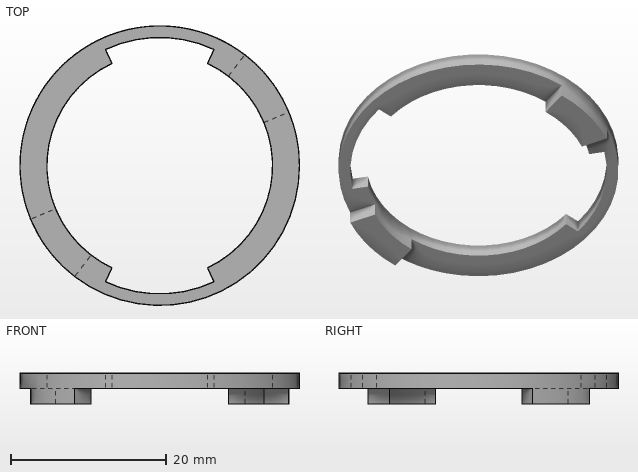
import cadquery as cq
import math

outer_radius = 18.0
inner_radius = 14.5
notch_radius = 16.5
total_height = 4.0
ring_thickness = total_height / 2
tab_height = total_height - ring_thickness

notch_span = 50.0
notch_centers = (90.0, 270.0)
tab_span = 30.0
tab_centers = (37.5, 217.5)


def polar(radius, angle):
    """Point at a radius and an angle in degrees."""
    return (radius * math.cos(math.radians(angle)), radius * math.sin(math.radians(angle)))


def ring_sector(r_in, r_out, center, span, height):
    """Sector of a flat ring with radial ends, rising from z = 0."""
    start = center - span / 2
    end = center + span / 2
    return (
        cq.Workplane("XY")
        .moveTo(*polar(r_in, start))
        .lineTo(*polar(r_out, start))
        .threePointArc(polar(r_out, center), polar(r_out, end))
        .lineTo(*polar(r_in, end))
        .threePointArc(polar(r_in, center), polar(r_in, start))
        .close()
        .extrude(height)
    )


result = (
    cq.Workplane("XY")
    .workplane(offset=-tab_height)
    .circle(outer_radius)
    .circle(inner_radius)
    .extrude(total_height)
)

cutter_inner_radius = inner_radius / 2
cutter_outer_radius = outer_radius * 1.2

gap_span = 180 - tab_span
for tab_center in tab_centers:
    gap = ring_sector(cutter_inner_radius, cutter_outer_radius, tab_center + 90, gap_span, tab_height)
    result = result.cut(gap.translate((0, 0, -tab_height)))

for notch_center in notch_centers:
    notch = ring_sector(cutter_inner_radius, notch_radius, notch_center, notch_span, ring_thickness)
    result = result.cut(notch)